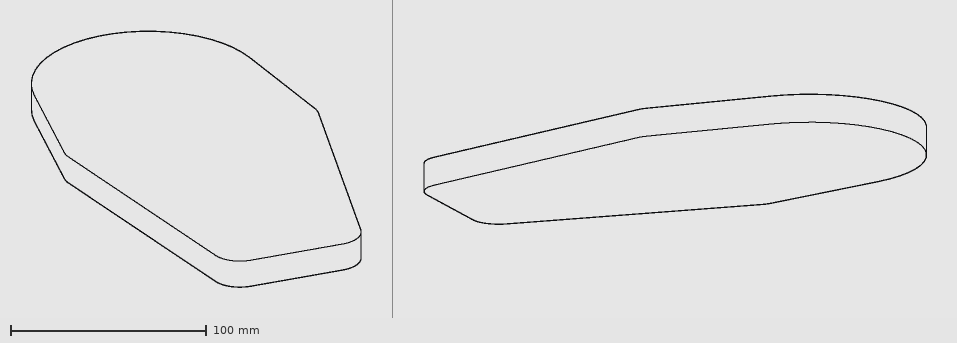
import cadquery as cq
import math

length = 267.5
thickness = 15.0
nose_radius = 60.0
corner_radius = 15.0

shoulder_width = 138.9
shoulder_from_nose = 120.7
tail_width = 75.0

strip_length = 110.2
strip_width = 32.0

tail_x = length - nose_radius
shoulder_x = shoulder_from_nose - nose_radius
shoulder_y = shoulder_width / 2
tail_y = tail_width / 2


def nose_tangent_point():
    """Point on the nose arc where the line to the +Y shoulder corner is tangent."""
    shoulder_distance = math.hypot(shoulder_x, shoulder_y)
    shoulder_angle = math.atan2(shoulder_y, shoulder_x)
    tangent_angle = shoulder_angle + math.acos(nose_radius / shoulder_distance)
    return nose_radius * math.cos(tangent_angle), nose_radius * math.sin(tangent_angle)


def make_plate():
    """Full-thickness plate with rounded shoulder and tail corners."""
    tangent_x, tangent_y = nose_tangent_point()
    outline = (
        cq.Workplane("XY")
        .moveTo(tangent_x, tangent_y)
        .threePointArc((-nose_radius, 0), (tangent_x, -tangent_y))
        .lineTo(shoulder_x, -shoulder_y)
        .lineTo(tail_x, -tail_y)
        .lineTo(tail_x, tail_y)
        .lineTo(shoulder_x, shoulder_y)
        .close()
    )
    corners = cq.selectors.BoxSelector(
        (0, -shoulder_width, -thickness), (length, shoulder_width, 2 * thickness)
    )
    return outline.extrude(thickness).edges("|Z").edges(corners).fillet(corner_radius)


def make_strip():
    """Strip filling the middle of the tail, level with the plate's top."""
    return (
        cq.Workplane("XY")
        .box(strip_length, strip_width, thickness, centered=(False, True, False))
        .translate((tail_x - strip_length, 0, 0))
    )


result = make_plate().union(make_strip(), clean=False)